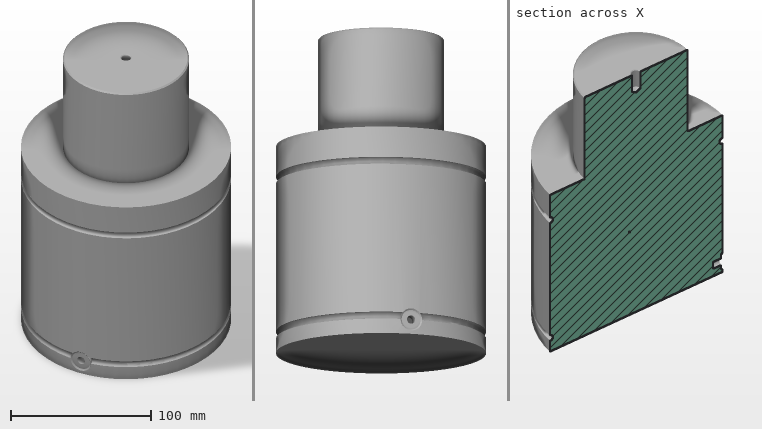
import math

import cadquery as cq

body_diameter = 150.0
body_height = 150.0
body_radius = body_diameter / 2

rod_diameter = 90.0
total_height = 228.0
rod_chamfer = 1.0

rod_hole_diameter = 6.8
rod_hole_mouth_diameter = 8.0
rod_hole_depth = 16.0
drill_point_angle = 118.0

groove_radius = 2.5
groove_heights = (13.0, 125.5)

port_height = 10.5
port_diameter = 16.0
port_floor_diameter = 14.0
port_recess_depth = 1.0
port_plug_length = 10.0
port_hole_diameter = 6.0
port_hole_depth = 8.0


def make_body():
    body = cq.Workplane("XY").circle(body_radius).extrude(body_height)
    rod = cq.Workplane("XY").circle(rod_diameter / 2).extrude(total_height)
    rod = rod.faces(">Z").chamfer(rod_chamfer)
    return body.union(rod)


def make_groove(height):
    """Ring of round section, centred on the body surface."""
    return (
        cq.Workplane("XZ")
        .center(body_radius, height)
        .circle(groove_radius)
        .revolve(360, (-body_radius, 0, 0), (-body_radius, 1, 0))
    )


def make_rod_hole():
    hole_radius = rod_hole_diameter / 2
    mouth_radius = rod_hole_mouth_diameter / 2
    countersink_depth = mouth_radius - hole_radius
    point_depth = hole_radius / math.tan(math.radians(drill_point_angle / 2))
    shoulder = total_height - rod_hole_depth
    return (
        cq.Workplane("XZ")
        .moveTo(0, shoulder - point_depth)
        .lineTo(hole_radius, shoulder)
        .lineTo(hole_radius, total_height - countersink_depth)
        .lineTo(mouth_radius, total_height)
        .lineTo(0, total_height)
        .close()
        .revolve(360, (0, 0, 0), (0, 1, 0))
    )


def make_port_plug():
    """Solid cylinder from the body surface inward; it also bridges the lower groove."""
    return (
        cq.Workplane("XZ", origin=(0, -body_radius, port_height))
        .circle(port_diameter / 2)
        .extrude(-port_plug_length)
    )


def make_port_bore():
    """Conical recess narrowing to a flat floor, with a blind hole in its middle."""
    hole_radius = port_hole_diameter / 2
    return (
        cq.Workplane("XY", origin=(0, -body_radius, port_height))
        .lineTo(port_diameter / 2, 0)
        .lineTo(port_floor_diameter / 2, port_recess_depth)
        .lineTo(hole_radius, port_recess_depth)
        .lineTo(hole_radius, port_hole_depth)
        .lineTo(0, port_hole_depth)
        .close()
        .revolve(360, (0, 0, 0), (0, 1, 0))
    )


result = make_body()
for groove_height in groove_heights:
    result = result.cut(make_groove(groove_height))
result = result.cut(make_rod_hole())
result = result.union(make_port_plug()).cut(make_port_bore())